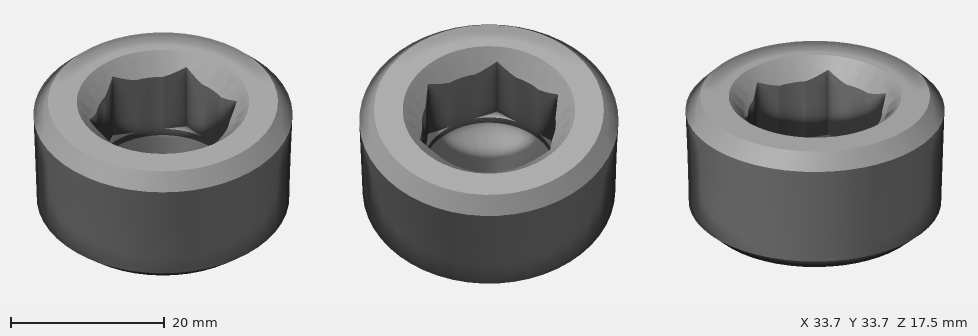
import cadquery as cq
import math

height = 17.5
largest_diameter = 33.68
taper_ratio = 1 / 16
chamfer_height = 2.0
top_face_diameter = 29.88
bottom_face_diameter = 28.5

hex_across_flats = 17.0
hex_depth = 11.0
countersink_diameter = 22.4
countersink_angle = 90.0

drill_diameter = 17.4
drill_depth = 12.0
drill_point_angle = 118.0


def cone_height(diameter, included_angle):
    """Height of a full cone with the given base diameter and tip angle."""
    return diameter / 2 / math.tan(math.radians(included_angle / 2))


def make_body():
    """Revolved taper with a chamfer at each end."""
    upper_shoulder = height - chamfer_height
    taper_length = upper_shoulder - chamfer_height
    small_taper_diameter = largest_diameter - taper_length * taper_ratio
    return (
        cq.Workplane("XZ")
        .lineTo(bottom_face_diameter / 2, 0)
        .lineTo(small_taper_diameter / 2, chamfer_height)
        .lineTo(largest_diameter / 2, upper_shoulder)
        .lineTo(top_face_diameter / 2, height)
        .lineTo(0, height)
        .close()
        .revolve(360, (0, 0), (0, 1))
    )


def make_hex_socket():
    """Hexagonal prism with two corners on the X axis."""
    across_corners = hex_across_flats / math.cos(math.pi / 6)
    return (
        cq.Workplane("XY")
        .workplane(offset=height - hex_depth)
        .polygon(6, across_corners)
        .extrude(hex_depth)
    )


def make_drilled_hole():
    """Cylindrical hole ending in a conical drill point."""
    wall_end = height - drill_depth
    tip = wall_end - cone_height(drill_diameter, drill_point_angle)
    return (
        cq.Workplane("XZ")
        .moveTo(0, tip)
        .lineTo(drill_diameter / 2, wall_end)
        .lineTo(drill_diameter / 2, height)
        .lineTo(0, height)
        .close()
        .revolve(360, (0, 0), (0, 1))
    )


def make_countersink():
    """Conical lead-in at the mouth of the socket."""
    tip = height - cone_height(countersink_diameter, countersink_angle)
    return (
        cq.Workplane("XZ")
        .moveTo(0, tip)
        .lineTo(countersink_diameter / 2, height)
        .lineTo(0, height)
        .close()
        .revolve(360, (0, 0), (0, 1))
    )


result = (
    make_body()
    .cut(make_hex_socket())
    .cut(make_drilled_hole())
    .cut(make_countersink())
)